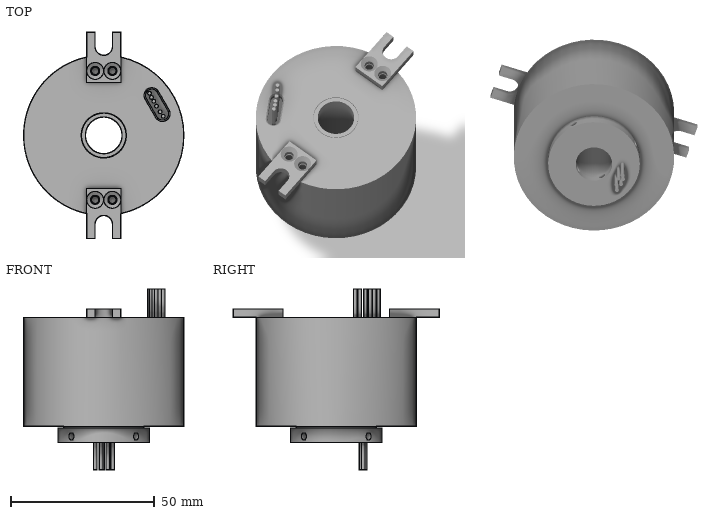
import cadquery as cq
import math

housing_radius = 28.0
housing_height = 38.0
bore_radius = 6.35

shaft_gap_inner_radius = 7.75
shaft_gap_width = 0.15
shaft_gap_depth = 0.5

neck_radius = 14.0
neck_height = 0.5
flange_radius = 16.0
flange_height = 5.2
flange_bottom = -neck_height - flange_height

set_screw_diameter = 2.5
set_screw_z = -3.5
set_screw_angles = (45, 135, 225, 315)

lug_width = 12.0
lug_thickness = 3.0
lug_inner_y = 18.5
lug_outer_y = 36.0
fork_radius = 3.0
fork_bottom_y = 28.0

screw_x = 3.0
screw_y = 22.5
countersink_diameter = 5.9
clearance_diameter = 3.2
countersink_angle = 90
tap_diameter = 2.5
tap_depth = 6.0
drill_point_angle = 118

outlet_angle = 30
outlet_distance = 21.5
outlet_straight = 7.4
outlet_radius = 2.2
outlet_chamfer = 0.5
outlet_depth = 2.0

wire_diameter = 1.3
upper_wire_height = 10.0
lower_wire_length = 9.5
upper_wires = (
    (-0.3, 4.75),
    (-0.45, 3.15),
    (-0.4, 1.55),
    (-0.45, -0.35),
    (-0.35, -2.7),
    (-0.2, -4.6),
)
lower_wires = (
    (-2.93, 9.44),
    (-0.98, 8.6),
    (-0.36, 10.09),
    (1.43, 8.65),
    (1.73, 10.09),
    (3.14, 9.44),
)


def cylinder(radius, height, bottom):
    return cq.Workplane("XY").workplane(offset=bottom).circle(radius).extrude(height)


def make_body():
    housing = cylinder(housing_radius, housing_height, 0)
    neck = cylinder(neck_radius, neck_height, -neck_height)
    flange = cylinder(flange_radius, flange_height, flange_bottom)
    bore = cylinder(bore_radius, housing_height - flange_bottom, flange_bottom)
    shaft_gap = (
        cq.Workplane("XY")
        .workplane(offset=housing_height - shaft_gap_depth)
        .circle(shaft_gap_inner_radius + shaft_gap_width)
        .circle(shaft_gap_inner_radius)
        .extrude(shaft_gap_depth)
    )
    return housing.union(neck).union(flange).cut(bore).cut(shaft_gap)


def set_screw_hole(angle):
    """Radial hole from the flange rim through to the bore."""
    hole = (
        cq.Workplane("YZ")
        .center(0, set_screw_z)
        .circle(set_screw_diameter / 2)
        .extrude(flange_radius)
    )
    return hole.rotate((0, 0, 0), (0, 0, 1), angle)


def make_lug():
    """Lug on the +Y side, with its fork open outwards."""
    plate = (
        cq.Workplane("XY")
        .workplane(offset=housing_height)
        .center(0, (lug_inner_y + lug_outer_y) / 2)
        .rect(lug_width, lug_outer_y - lug_inner_y)
        .extrude(lug_thickness)
    )
    fork_slot = (
        cq.Workplane("XY")
        .workplane(offset=housing_height)
        .moveTo(-fork_radius, lug_outer_y)
        .lineTo(-fork_radius, fork_bottom_y + fork_radius)
        .threePointArc((0, fork_bottom_y), (fork_radius, fork_bottom_y + fork_radius))
        .lineTo(fork_radius, lug_outer_y)
        .close()
        .extrude(lug_thickness)
    )
    return (
        plate.cut(fork_slot)
        .faces(">Z")
        .workplane(origin=(0, 0, housing_height + lug_thickness))
        .pushPoints([(-screw_x, screw_y), (screw_x, screw_y)])
        .cskHole(clearance_diameter, countersink_diameter, countersink_angle)
    )


def tapped_hole(x, y):
    """Blind hole with a conical drill point, sunk from the top of the housing."""
    radius = tap_diameter / 2
    point_depth = radius / math.tan(math.radians(drill_point_angle / 2))
    profile = (
        cq.Workplane("XZ")
        .moveTo(0, 0)
        .lineTo(radius, 0)
        .lineTo(radius, -tap_depth)
        .lineTo(0, -tap_depth - point_depth)
        .close()
    )
    hole = profile.revolve(360, (0, 0, 0), (0, 1, 0))
    return hole.translate((x, y, housing_height))


def place_at_outlet(shape):
    """Move a shape built about the origin (X radial, Y tangential) to the wire outlet."""
    moved = shape.translate((outlet_distance, 0, housing_height))
    return moved.rotate((0, 0, 0), (0, 0, 1), outlet_angle)


def make_outlet_pocket():
    slot_length = outlet_straight + 2 * outlet_radius
    slot_width = 2 * outlet_radius
    pocket = (
        cq.Workplane("XY")
        .slot2D(slot_length, slot_width, 90)
        .extrude(-outlet_depth)
    )
    chamfer_cut = (
        cq.Workplane("XY")
        .slot2D(slot_length + 2 * outlet_chamfer, slot_width + 2 * outlet_chamfer, 90)
        .extrude(-outlet_chamfer, taper=45)
    )
    return place_at_outlet(pocket.union(chamfer_cut))


def make_upper_wires():
    wires = (
        cq.Workplane("XY")
        .workplane(offset=-outlet_depth)
        .pushPoints(upper_wires)
        .circle(wire_diameter / 2)
        .extrude(outlet_depth + upper_wire_height)
    )
    return place_at_outlet(wires)


def make_lower_wires():
    return (
        cq.Workplane("XY")
        .workplane(offset=flange_bottom)
        .pushPoints(lower_wires)
        .circle(wire_diameter / 2)
        .extrude(-lower_wire_length)
    )


result = make_body()

for angle in set_screw_angles:
    result = result.cut(set_screw_hole(angle))

lug = make_lug()
for side_angle in (0, 180):
    result = result.union(lug.rotate((0, 0, 0), (0, 0, 1), side_angle))

for x in (-screw_x, screw_x):
    for y in (-screw_y, screw_y):
        result = result.cut(tapped_hole(x, y))

result = result.cut(make_outlet_pocket()).union(make_upper_wires()).union(make_lower_wires())